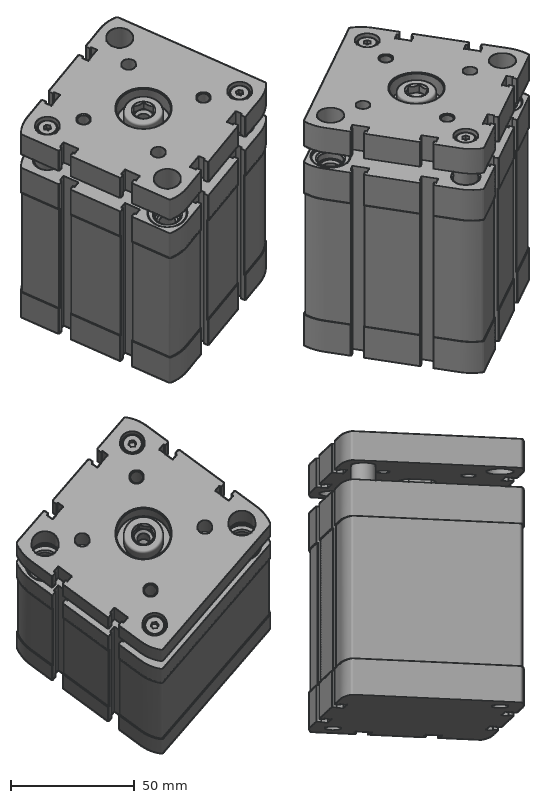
import cadquery as cq
import math

TOTAL_HEIGHT = 109.0
WIDTH = 75.5
HALF_WIDTH = WIDTH / 2
HEXAGON_SIDES = 6

CORNER_RADIUS = 18.0
CORNER_START = 28.6
CORNER_EDGE_RADIUS = 1.1
BARREL_INSET = 0.4

HOUSING_HEIGHT = 89.0
CAP_HEIGHT = 15.0
PLATE_THICKNESS = 12.0
PLATE_BOTTOM = TOTAL_HEIGHT - PLATE_THICKNESS
ROD_END = HOUSING_HEIGHT - CAP_HEIGHT

SLOT_OFFSET = 14.5
SLOT_MOUTH_WIDTH = 5.2
SLOT_INNER_WIDTH = 7.0
SLOT_MOUTH_DEPTH = 2.2
SLOT_DEPTH = 5.0
SLOT_MOUTH_CHAMFER = 0.3

CORNER_HOLE_OFFSET = 28.3
PIN_CORNERS = [(CORNER_HOLE_OFFSET, CORNER_HOLE_OFFSET), (-CORNER_HOLE_OFFSET, -CORNER_HOLE_OFFSET)]
SCREW_CORNERS = [(-CORNER_HOLE_OFFSET, CORNER_HOLE_OFFSET), (CORNER_HOLE_OFFSET, -CORNER_HOLE_OFFSET)]

PIN_DIAMETER = 10.0
PIN_END_DIAMETER = 8.6
PIN_END_DEPTH = 1.0
PIN_END_CHAMFER = 0.5
PIN_SHOULDER_DEPTH = 4.4
PIN_HEX_CORNERS = 3.2
PIN_HEX_DEPTH = 2.2
PIN_HEX_TURN = 45.0

SCREW_HOLE_DIAMETER = 6.6
SCREW_COUNTERSINK_DIAMETER = 8.5
SCREW_SEAT_DEPTH = 4.6
GUIDE_BORE_DIAMETER = 10.6
GUIDE_BORE_RIM_DIAMETER = 12.0
GUIDE_RECESS_DIAMETER = 15.5
GUIDE_RECESS_RIM_DIAMETER = 16.4
GUIDE_RECESS_DEPTH = 1.0

ACCESS_HOLE_DIAMETER = 11.0
MOUNT_HOLE_OFFSET = 17.7
DOWEL_HOLE_DIAMETER = 6.0
TAPPED_HOLE_DIAMETER = 5.0
TAPPED_HOLE_RIM_DIAMETER = 6.0
PLATE_RECESS_DIAMETER = 22.0
PLATE_RECESS_RIM_DIAMETER = 22.9
PLATE_RECESS_DEPTH = 8.0

ROD_DIAMETER = 16.0
ROD_TOP_DEPTH = 1.1
ROD_END_RADIUS = 1.0
ROD_FLAT_WIDTH = 13.0
ROD_FLAT_BOTTOM = 90.8
SOCKET_HEX_FLATS = 8.0
SOCKET_RIM_DIAMETER = 9.6
SOCKET_HEX_DEPTH = 3.9
CENTRE_HOLE_DIAMETER = 5.0
CENTRE_HOLE_DEPTH = 10.9
DRILL_POINT_ANGLE = 120.0
DRILL_SLOPE = 1 / math.tan(math.radians(DRILL_POINT_ANGLE / 2))


def cylinder(diameter, bottom, top, place=(0, 0)):
    """Upright cylinder between two levels."""
    return cq.Workplane("XY", origin=(*place, bottom)).circle(diameter / 2).extrude(top - bottom)


def cone(lower_diameter, upper_diameter, bottom, top, place=(0, 0)):
    """Upright cone frustum between two levels."""
    return cq.Workplane(
        cq.Solid.makeCone(lower_diameter / 2, upper_diameter / 2, top - bottom, cq.Vector(*place, bottom))
    )


def rim_chamfer(hole_diameter, rim_diameter, top, place=(0, 0)):
    """Cutter for a 45 degree chamfer at the mouth of a hole."""
    depth = (rim_diameter - hole_diameter) / 2
    return cone(hole_diameter, rim_diameter, top - depth, top, place)


def body_block(inset, bottom, top):
    """Slotted square block; large arcs run off the -X and +X sides at the corners."""
    half = HALF_WIDTH - inset
    radius = CORNER_RADIUS - inset
    arc_centre = half - radius
    end_angle = math.asin((half - CORNER_START) / radius)

    def arc_point(angle, x_sign, y_sign):
        x = arc_centre + radius * math.cos(angle)
        y = CORNER_START + radius * math.sin(angle)
        return (x_sign * x, y_sign * y)

    middle = end_angle / 2
    outline = (
        cq.Workplane("XY", origin=(0, 0, bottom))
        .moveTo(half, -CORNER_START)
        .lineTo(half, CORNER_START)
        .threePointArc(arc_point(middle, 1, 1), arc_point(end_angle, 1, 1))
        .lineTo(*arc_point(end_angle, -1, 1))
        .threePointArc(arc_point(middle, -1, 1), (-half, CORNER_START))
        .lineTo(-half, -CORNER_START)
        .threePointArc(arc_point(middle, -1, -1), arc_point(end_angle, -1, -1))
        .lineTo(*arc_point(end_angle, 1, -1))
        .threePointArc(arc_point(middle, 1, -1), (half, -CORNER_START))
        .close()
    )
    block = outline.extrude(top - bottom).edges("|Z").edges(">Y or <Y").fillet(CORNER_EDGE_RADIUS)
    return block.cut(t_slots(inset, bottom, top))


def t_slots(inset, bottom, top):
    """Cutters for the T-slots: two on each of the -X, +X and -Y sides."""
    mouth = SLOT_MOUTH_WIDTH / 2
    inner = SLOT_INNER_WIDTH / 2
    lip_depth = SLOT_MOUTH_DEPTH - inset
    floor_depth = SLOT_DEPTH - inset
    outline = (
        cq.Workplane("XY")
        .moveTo(0, 0)
        .lineTo(mouth + SLOT_MOUTH_CHAMFER, 0)
        .lineTo(mouth, SLOT_MOUTH_CHAMFER)
        .lineTo(mouth, lip_depth)
        .lineTo(inner, lip_depth)
        .lineTo(inner, floor_depth)
        .lineTo(0, floor_depth)
        .close()
    )
    half_slot = outline.extrude(top - bottom)
    slot = half_slot.union(half_slot.mirror("YZ")).translate((0, inset - HALF_WIDTH, bottom))
    slots = cq.Workplane("XY")
    for turn in (-90, 0, 90):
        for offset in (-SLOT_OFFSET, SLOT_OFFSET):
            slots = slots.add(slot.translate((offset, 0, 0)).rotate((0, 0, 0), (0, 0, 1), turn))
    return slots.combine()


def guide_bore(bottom, top, place):
    """Cutter for a bore with a chamfered mouth."""
    bore = cylinder(GUIDE_BORE_DIAMETER, bottom, top, place)
    return bore.union(rim_chamfer(GUIDE_BORE_DIAMETER, GUIDE_BORE_RIM_DIAMETER, top, place))


def make_housing():
    """Barrel between two end caps, bored for the piston rod, the guide pins and the screws."""
    barrel_top = HOUSING_HEIGHT - CAP_HEIGHT
    housing = body_block(BARREL_INSET, CAP_HEIGHT, barrel_top)
    housing = housing.union(body_block(0, 0, CAP_HEIGHT))
    housing = housing.union(body_block(0, barrel_top, HOUSING_HEIGHT))

    bore_top = HOUSING_HEIGHT - GUIDE_RECESS_DEPTH
    screw_seat = HOUSING_HEIGHT - SCREW_SEAT_DEPTH
    for place in SCREW_CORNERS:
        housing = housing.cut(cylinder(GUIDE_RECESS_DIAMETER, bore_top, HOUSING_HEIGHT, place))
        housing = housing.cut(
            rim_chamfer(GUIDE_RECESS_DIAMETER, GUIDE_RECESS_RIM_DIAMETER, HOUSING_HEIGHT, place)
        )
        housing = housing.cut(guide_bore(screw_seat, bore_top, place))
        housing = housing.cut(rim_chamfer(SCREW_HOLE_DIAMETER, SCREW_COUNTERSINK_DIAMETER, screw_seat, place))
        housing = housing.cut(cylinder(SCREW_HOLE_DIAMETER, 0, HOUSING_HEIGHT, place))
    for place in PIN_CORNERS:
        housing = housing.cut(guide_bore(ROD_END, HOUSING_HEIGHT, place))
    housing = housing.cut(cylinder(ROD_DIAMETER, ROD_END, HOUSING_HEIGHT))
    return housing


def make_plate():
    """Moving plate with its slots, recess and holes."""
    plate = body_block(0, PLATE_BOTTOM, TOTAL_HEIGHT)
    plate = plate.cut(cylinder(PLATE_RECESS_DIAMETER, TOTAL_HEIGHT - PLATE_RECESS_DEPTH, TOTAL_HEIGHT))
    plate = plate.cut(rim_chamfer(PLATE_RECESS_DIAMETER, PLATE_RECESS_RIM_DIAMETER, TOTAL_HEIGHT))
    plate = plate.cut(cylinder(ROD_DIAMETER, PLATE_BOTTOM, TOTAL_HEIGHT))
    for place in SCREW_CORNERS:
        plate = plate.cut(cylinder(ACCESS_HOLE_DIAMETER, PLATE_BOTTOM, TOTAL_HEIGHT, place))
    for place in PIN_CORNERS:
        plate = plate.cut(cylinder(PIN_DIAMETER, PLATE_BOTTOM, TOTAL_HEIGHT, place))
    for side in (-1, 1):
        tapped_place = (side * MOUNT_HOLE_OFFSET, side * MOUNT_HOLE_OFFSET)
        dowel_place = (side * MOUNT_HOLE_OFFSET, -side * MOUNT_HOLE_OFFSET)
        plate = plate.cut(cylinder(TAPPED_HOLE_DIAMETER, PLATE_BOTTOM, TOTAL_HEIGHT, tapped_place))
        plate = plate.cut(
            rim_chamfer(TAPPED_HOLE_DIAMETER, TAPPED_HOLE_RIM_DIAMETER, TOTAL_HEIGHT, tapped_place)
        )
        plate = plate.cut(cylinder(DOWEL_HOLE_DIAMETER, PLATE_BOTTOM, TOTAL_HEIGHT, dowel_place))
    return plate


def make_pin(place):
    """Guide pin with a narrower chamfered end and a small hexagon socket."""
    top = TOTAL_HEIGHT - PIN_END_DEPTH
    shoulder = TOTAL_HEIGHT - PIN_SHOULDER_DEPTH
    end = cylinder(PIN_END_DIAMETER, shoulder, top).faces(">Z").chamfer(PIN_END_CHAMFER)
    pin = cylinder(PIN_DIAMETER, ROD_END, shoulder).union(end)
    socket = (
        cq.Workplane("XY", origin=(0, 0, top))
        .polygon(HEXAGON_SIDES, PIN_HEX_CORNERS)
        .extrude(-PIN_HEX_DEPTH)
        .rotate((0, 0, 0), (0, 0, 1), -PIN_HEX_TURN)
    )
    return pin.cut(socket).translate((*place, 0))


def make_rod():
    """Piston rod with two flats and a hexagon socket above a drilled centre hole."""
    top = TOTAL_HEIGHT - ROD_TOP_DEPTH
    rod = cylinder(ROD_DIAMETER, ROD_END, top).faces(">Z").edges().fillet(ROD_END_RADIUS)

    flat_depth = (ROD_DIAMETER - ROD_FLAT_WIDTH) / 2
    for side in (-1, 1):
        flat_cut = (
            cq.Workplane("YZ", origin=(-ROD_DIAMETER / 2, 0, 0))
            .moveTo(side * ROD_FLAT_WIDTH / 2, PLATE_BOTTOM)
            .lineTo(side * ROD_FLAT_WIDTH / 2, ROD_FLAT_BOTTOM)
            .lineTo(side * ROD_DIAMETER / 2, ROD_FLAT_BOTTOM - flat_depth)
            .lineTo(side * ROD_DIAMETER / 2, PLATE_BOTTOM)
            .close()
            .extrude(ROD_DIAMETER)
        )
        rod = rod.cut(flat_cut)

    hex_corners = SOCKET_HEX_FLATS / math.cos(math.pi / HEXAGON_SIDES)
    hex_floor = top - SOCKET_HEX_DEPTH
    socket = (
        cq.Workplane("XY", origin=(0, 0, hex_floor))
        .polygon(HEXAGON_SIDES, hex_corners)
        .extrude(SOCKET_HEX_DEPTH)
    )
    floor_drop = (SOCKET_HEX_FLATS - CENTRE_HOLE_DIAMETER) / 2 * DRILL_SLOPE
    socket_floor = cone(CENTRE_HOLE_DIAMETER, SOCKET_HEX_FLATS, hex_floor - floor_drop, hex_floor)
    hole_floor = top - CENTRE_HOLE_DEPTH
    point_depth = CENTRE_HOLE_DIAMETER / 2 * DRILL_SLOPE
    drill_point = cone(0, CENTRE_HOLE_DIAMETER, hole_floor - point_depth, hole_floor)
    rod = rod.cut(socket).cut(socket_floor)
    rod = rod.cut(cylinder(CENTRE_HOLE_DIAMETER, hole_floor, top)).cut(drill_point)
    return rod.cut(rim_chamfer(SOCKET_HEX_FLATS, SOCKET_RIM_DIAMETER, top))


def make_carriage():
    """Plate joined to the piston rod and the two guide pins."""
    carriage = make_plate().union(make_rod())
    for place in PIN_CORNERS:
        carriage = carriage.union(make_pin(place))
    return carriage


housing = make_housing()
carriage = make_carriage()
result = cq.Compound.makeCompound([housing.val(), carriage.val()])